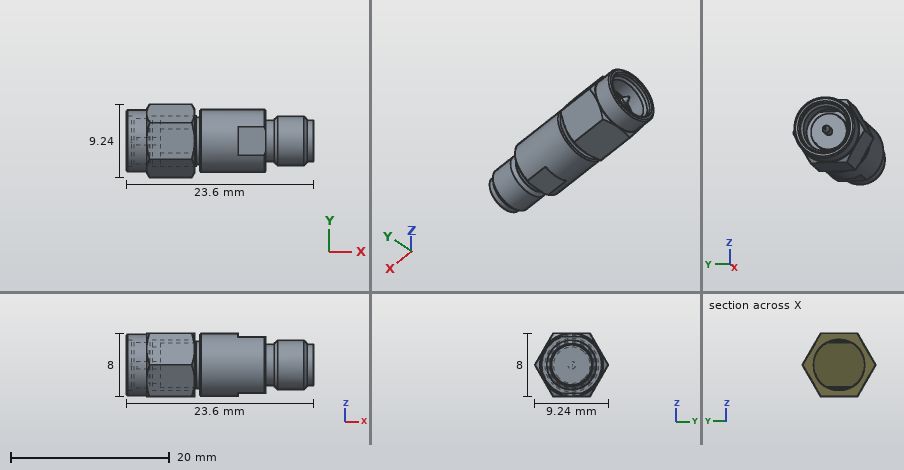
import cadquery as cq
import math


nut_radius = 3.9
nut_edge_chamfer = 0.2
hex_start = 2.57
hex_end = 8.6
hex_across_flats = 8.0
hex_chamfer_angle = 30.0
thread_minor_radius = 2.85
thread_major_radius = 3.19
mouth_radius = 3.37
thread_start = 0.64
thread_end = 2.93

overall_length = 23.6
boss_radius = 2.3
boss_start = 2.85
collar_start = 4.25
collar_end = 8.78
collar_across_flats = 5.62
collar_radius = thread_major_radius
shoulder_radius = 3.0
barrel_start = 9.25
barrel_end = 17.55
barrel_radius = 3.96
barrel_chamfer = 0.2
barrel_flat_start = 14.1
barrel_across_flats = 7.08
neck_radius = 2.62
rear_thread_radius = 3.12
rear_thread_start = 18.6
rear_thread_end = 22.77
rear_thread_root_radius = 2.7
rear_cone_front_length = 0.5
rear_edge_chamfer = 0.1

pin_radius = 0.47
pin_end_radius = 0.12
pin_tip = 0.6
pin_shoulder = 1.3
pin_seat_depth = 1.42


def revolve_about_x(points):
    """Turn a closed outline of (x, radius) points into a solid about the X axis."""
    return cq.Workplane("XY").polyline(points).close().revolve(360, (0, 0, 0), (1, 0, 0))


def slab(start, end, width, across_flats):
    """Box along X, centred on the axis, that trims a round bar to two flats facing +Z and -Z."""
    length = end - start
    return cq.Workplane("XY").box(length, width, across_flats).translate(((start + end) / 2, 0, 0))


def make_nut_bore():
    mouth_chamfer = mouth_radius - thread_major_radius
    thread_cone = thread_major_radius - thread_minor_radius
    return revolve_about_x([
        (0, 0),
        (0, mouth_radius),
        (mouth_chamfer, thread_major_radius),
        (thread_start, thread_major_radius),
        (thread_start + thread_cone, thread_minor_radius),
        (thread_end, thread_minor_radius),
        (thread_end + thread_cone, thread_major_radius),
        (hex_end, thread_major_radius),
        (hex_end, 0),
    ])


def make_hexagon():
    """Hexagonal section with its corners chamfered by a cone at both ends."""
    corner_radius = hex_across_flats / math.sqrt(3)
    flat_radius = hex_across_flats / 2
    chamfer_length = (corner_radius - flat_radius) * math.tan(math.radians(hex_chamfer_angle))
    bar = (
        cq.Workplane("YZ", origin=(hex_start, 0, 0))
        .polygon(6, 2 * corner_radius)
        .extrude(hex_end - hex_start)
    )
    envelope = revolve_about_x([
        (hex_start, 0),
        (hex_start, flat_radius),
        (hex_start + chamfer_length, corner_radius),
        (hex_end - chamfer_length, corner_radius),
        (hex_end, flat_radius),
        (hex_end, 0),
    ])
    return bar.intersect(envelope)


def make_nut():
    sleeve = revolve_about_x([
        (0, 0),
        (0, nut_radius - nut_edge_chamfer),
        (nut_edge_chamfer, nut_radius),
        (hex_end, nut_radius),
        (hex_end, 0),
    ])
    return sleeve.union(make_hexagon()).cut(make_nut_bore())


def make_collar():
    """Front of the housing: a flatted collar that turns inside the nut, with a round boss ahead of it."""
    boss = revolve_about_x([
        (boss_start, 0),
        (boss_start, boss_radius),
        (collar_start, boss_radius),
        (collar_start, 0),
    ])
    collar = revolve_about_x([
        (collar_start, 0),
        (collar_start, collar_radius),
        (collar_end, collar_radius),
        (collar_end, 0),
    ])
    flats = slab(collar_start, collar_end, 2 * collar_radius, collar_across_flats)
    return collar.intersect(flats).union(boss)


def make_barrel():
    """Main barrel, chamfered at both ends, with two wrench flats at its rear."""
    barrel = revolve_about_x([
        (barrel_start, 0),
        (barrel_start, barrel_radius - barrel_chamfer),
        (barrel_start + barrel_chamfer, barrel_radius),
        (barrel_end - barrel_chamfer, barrel_radius),
        (barrel_end, barrel_radius - barrel_chamfer),
        (barrel_end, 0),
    ])
    full_width = 2 * barrel_radius
    flat_zone = slab(barrel_flat_start, barrel_end, full_width, full_width)
    kept_zone = slab(barrel_flat_start, barrel_end, full_width, barrel_across_flats)
    return barrel.cut(flat_zone.cut(kept_zone))


def make_shoulder():
    """Round length between the collar and the barrel."""
    return revolve_about_x([
        (collar_end, 0),
        (collar_end, shoulder_radius),
        (barrel_start, shoulder_radius),
        (barrel_start, 0),
    ])


def make_rear_connector():
    """Neck, threaded length with coned ends, and plain rear tip."""
    rear_cone = rear_thread_radius - rear_thread_root_radius
    return revolve_about_x([
        (barrel_end, 0),
        (barrel_end, neck_radius),
        (rear_thread_start, neck_radius),
        (rear_thread_start, rear_thread_root_radius),
        (rear_thread_start + rear_cone_front_length, rear_thread_radius),
        (rear_thread_end - rear_cone, rear_thread_radius),
        (rear_thread_end, rear_thread_root_radius),
        (rear_thread_end, neck_radius),
        (overall_length - rear_edge_chamfer, neck_radius),
        (overall_length, neck_radius - rear_edge_chamfer),
        (overall_length, 0),
    ])


def make_pin():
    pin_end = boss_start + pin_seat_depth
    return revolve_about_x([
        (pin_tip, 0),
        (pin_tip, pin_end_radius),
        (pin_shoulder, pin_radius),
        (pin_end, pin_radius),
        (pin_end, 0),
    ])


def make_housing():
    body = make_collar().union(make_shoulder()).union(make_barrel()).union(make_rear_connector())
    return body.cut(make_pin())


nut = make_nut()
housing = make_housing()
pin = make_pin()

result = cq.Compound.makeCompound([nut.val(), housing.val(), pin.val()])